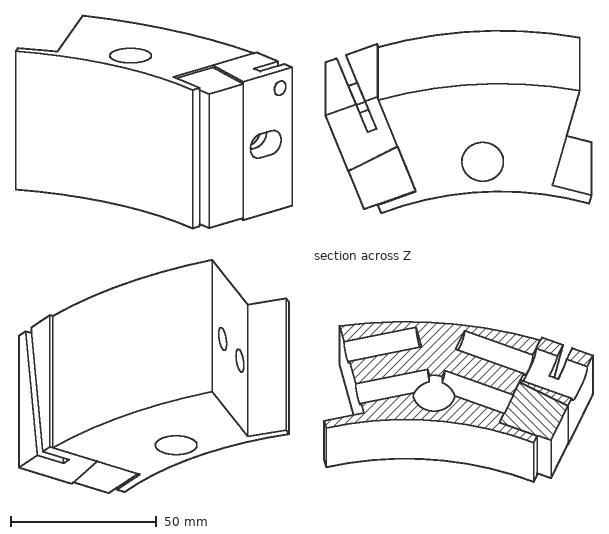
import cadquery as cq
import math

segment_angle = 36.0
inner_radius = 107.95
outer_radius = 147.64
height = 50.8

end_setback = 11.43
lip_overhang = 2.54
seat_radius = 111.125

bore_radius = 119.06
bore_diameter = 14.29

bolt_diameter = 7.94
bolt_hole_depth = 25.4
bolt_radii = (119.06, 136.53)
bolt_slot_travel = 5.0
bolt_slot_width = 8.7

block_width = 19.05
blocks_top = 148.42
taper_angle = 7.125
split_left_y = 128.8
inner_block_inset = 0.8
inner_block_height = height - 2 * inner_block_inset

slot_width = 3.3
slot_right_at_top = 3.4
slot_depth = 10.9
slot_tilt = 8.0
pin_hole_diameter = 5.1
pin_hole_drop = 6.35

block_left = -end_setback
block_right = block_left + block_width
split_right_y = split_left_y - block_width * math.tan(math.radians(taper_angle))


def ring_point(radius, x):
    """Point on a circle about the ring axis, at distance x from the joint line."""
    return x, math.sqrt(radius**2 - x**2)


def on_circle(radius, angle):
    """Point on a circle about the ring axis, at an angle turned from +Y towards -X."""
    return -radius * math.sin(math.radians(angle)), radius * math.cos(math.radians(angle))


def across_segment(point):
    """Mirror a point in the middle plane of the segment, from one joint to the other."""
    x, y = point
    turn = math.radians(segment_angle)
    return -x * math.cos(turn) - y * math.sin(turn), -x * math.sin(turn) + y * math.cos(turn)


def prism(outline, prism_height):
    """Extrude a closed outline equally above and below the middle plane."""
    return outline.close().extrude(prism_height / 2, both=True)


def make_bolt_holes():
    """Blind holes square to the end face at the +Y joint."""
    face = cq.Workplane("YZ", origin=(-end_setback, 0, 0))
    return face.pushPoints([(y, 0) for y in bolt_radii]).circle(bolt_diameter / 2).extrude(-bolt_hole_depth)


def make_segment():
    lip_tip = ring_point(inner_radius, lip_overhang)
    seat_tip = (lip_overhang, seat_radius)
    seat_corner = (-end_setback, seat_radius)
    outer_corner = ring_point(outer_radius, -end_setback)
    middle = segment_angle / 2
    body = prism(
        cq.Workplane("XY")
        .moveTo(*lip_tip)
        .lineTo(*seat_tip)
        .lineTo(*seat_corner)
        .lineTo(*outer_corner)
        .threePointArc(on_circle(outer_radius, middle), across_segment(outer_corner))
        .lineTo(*across_segment(seat_corner))
        .lineTo(*across_segment(seat_tip))
        .lineTo(*across_segment(lip_tip))
        .threePointArc(on_circle(inner_radius, middle), lip_tip),
        height,
    )
    bore = (
        cq.Workplane("XY")
        .center(*on_circle(bore_radius, middle))
        .circle(bore_diameter / 2)
        .extrude(height / 2, both=True)
    )
    bolt_holes = make_bolt_holes()
    far_bolt_holes = bolt_holes.mirror("YZ").rotate((0, 0, 0), (0, 0, 1), segment_angle)
    return body.cut(bore).cut(bolt_holes).cut(far_bolt_holes)


def make_inner_block():
    outline = cq.Workplane("XY").polyline(
        [
            (block_left, seat_radius),
            (block_right, seat_radius),
            (block_right, split_right_y),
            (block_left, split_left_y),
        ]
    )
    return prism(outline, inner_block_height)


def make_tilted_slot():
    """Slot open at the outer face, leaning towards -X on the way down through the block."""
    lean = height * math.tan(math.radians(slot_tilt))
    slot_left_at_top = slot_right_at_top - slot_width
    return (
        cq.Workplane("XZ", origin=(0, blocks_top, 0))
        .moveTo(slot_left_at_top, height / 2)
        .lineTo(slot_right_at_top, height / 2)
        .lineTo(slot_right_at_top - lean, -height / 2)
        .lineTo(slot_left_at_top - lean, -height / 2)
        .close()
        .extrude(slot_depth)
    )


def make_outer_block():
    outline = cq.Workplane("XY").polyline(
        [
            (block_left, split_left_y),
            (block_right, split_right_y),
            (block_right, blocks_top),
            (block_left, blocks_top),
        ]
    )
    bolt_slot = (
        cq.Workplane("YZ", origin=(block_left, 0, 0))
        .center(bolt_radii[-1], 0)
        .slot2D(bolt_slot_width + bolt_slot_travel, bolt_slot_width)
        .extrude(block_width)
    )
    pin_hole = (
        cq.Workplane("YZ", origin=(block_right, 0, 0))
        .center(blocks_top - slot_depth / 2, height / 2 - pin_hole_drop)
        .circle(pin_hole_diameter / 2)
        .extrude(slot_right_at_top - slot_width / 2 - block_right)
    )
    return prism(outline, height).cut(make_tilted_slot()).cut(bolt_slot).cut(pin_hole)


segment = make_segment()
inner_block = make_inner_block()
outer_block = make_outer_block()

result = cq.Compound.makeCompound([segment.val(), inner_block.val(), outer_block.val()])